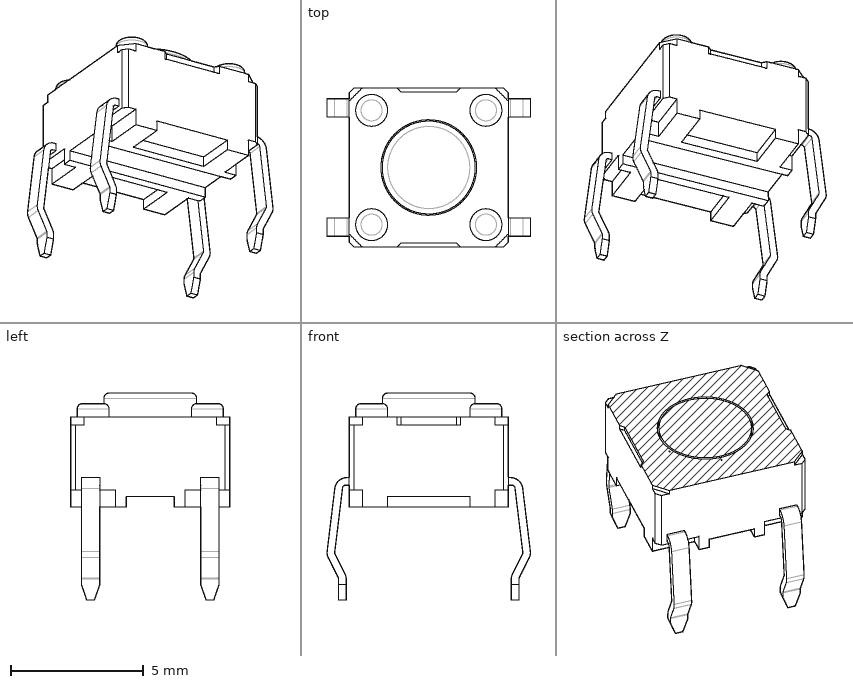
import cadquery as cq
import math

base_bottom = 3.5
base_top = 6.6
cover_top = 6.9
peg_top = 7.4
button_top = 7.8

body_size = 6.0
body_half = body_size / 2
base_chamfer = 0.19
cover_chamfer = 0.5

corner_relief_height = 0.65
corner_relief_width = 0.5
recess_height = 0.4
recess_width = 3.12
channel_width = 1.8
rib_thickness = 0.405
rib_outer_y = channel_width / 2 + rib_thickness
relief_depth = body_half - rib_outer_y

notch_outer_width = 2.4
notch_inner_width = 2.1
notch_depth = 0.15

button_diameter = 3.5
button_hole_diameter = 3.6
peg_diameter = 1.2
peg_offset = 2.15
top_round = 0.2

lead_span = 7.67
lead_thickness = 0.3
lead_width = 0.7
lead_offset_y = 2.25
bend_inner_radius = 0.1
bend_outer_radius = bend_inner_radius + lead_thickness
shoulder_outer_radius = 0.47
elbow_inset = 0.14
elbow_x = lead_span / 2 - elbow_inset
elbow_z = 1.74
shoulder_x = 3.36
shoulder_z = 4.47
tip_x = 3.25
tip_bend_z = 0.85
root_overlap = 0.195
tip_height = 0.585
tip_width = 0.3
lead_centreline = [
    (body_half - root_overlap, shoulder_z),
    (shoulder_x, shoulder_z),
    (elbow_x, elbow_z),
    (tip_x, tip_bend_z),
    (tip_x, 0.0),
]


def block(width, depth, bottom, top, x=0.0, y=0.0):
    """Box centred on (x, y) between two heights."""
    return (
        cq.Workplane("XY", origin=(x, y, bottom))
        .rect(width, depth)
        .extrude(top - bottom)
    )


def rounded_disc(diameter, bottom, top, x=0.0, y=0.0):
    """Upright cylinder with a rounded top edge."""
    return (
        cq.Workplane("XY", origin=(x, y, bottom))
        .circle(diameter / 2)
        .extrude(top - bottom)
        .faces(">Z")
        .edges()
        .fillet(top_round)
    )


def make_base():
    """Housing with corner reliefs, edge recesses and a channel underneath."""
    base = block(body_size, body_size, base_bottom, base_top)
    base = base.edges("|Z").chamfer(base_chamfer)

    relief_x = body_half - corner_relief_width / 2
    relief_y = body_half - relief_depth / 2
    for side_y in (-1, 1):
        for side_x in (-1, 1):
            base = base.cut(block(
                corner_relief_width, relief_depth,
                base_bottom, base_bottom + corner_relief_height,
                side_x * relief_x, side_y * relief_y,
            ))
        base = base.cut(block(
            recess_width, relief_depth,
            base_bottom, base_bottom + recess_height,
            0, side_y * relief_y,
        ))
    channel = block(body_size, channel_width, base_bottom, base_bottom + recess_height)
    return base.cut(channel)


def make_cover():
    """Thin plate with chamfered corners, edge notches and the button hole."""
    cover = block(body_size, body_size, base_top, cover_top)
    cover = cover.edges("|Z").chamfer(cover_chamfer)
    notch = (
        cq.Workplane("XY", origin=(0, 0, base_top))
        .polyline([
            (-notch_outer_width / 2, -body_half),
            (notch_outer_width / 2, -body_half),
            (notch_inner_width / 2, notch_depth - body_half),
            (-notch_inner_width / 2, notch_depth - body_half),
        ])
        .close()
        .extrude(cover_top - base_top)
    )
    hole = (
        cq.Workplane("XY", origin=(0, 0, base_top))
        .circle(button_hole_diameter / 2)
        .extrude(cover_top - base_top)
    )
    return cover.cut(notch).cut(notch.mirror("XZ")).cut(hole)


def offset_corners(points, distance):
    """Shift an open polyline sideways to its left, mitring the corners."""
    headings = [
        math.atan2(end[1] - start[1], end[0] - start[0])
        for start, end in zip(points, points[1:])
    ]
    before = [headings[0]] + headings
    after = headings + [headings[-1]]
    shifted = []
    for (x, z), heading_in, heading_out in zip(points, before, after):
        heading = (heading_in + heading_out) / 2
        reach = distance / math.cos((heading_out - heading_in) / 2)
        shifted.append((x - reach * math.sin(heading), z + reach * math.cos(heading)))
    return shifted


def make_lead():
    """One bent lead on the +X side, centred on y = 0, with a tapered tip."""
    left = offset_corners(lead_centreline, lead_thickness / 2)
    right = offset_corners(lead_centreline, -lead_thickness / 2)
    lead = (
        cq.Workplane("XZ")
        .polyline(left + right[::-1])
        .close()
        .extrude(lead_width / 2, both=True)
    )

    bends = [
        (left[1], shoulder_outer_radius),
        (right[1], bend_inner_radius),
        (left[2], bend_outer_radius),
        (right[2], bend_inner_radius),
        (right[3], bend_outer_radius),
        (left[3], bend_inner_radius),
    ]
    for (x, z), radius in bends:
        lead = lead.edges(cq.selectors.NearestToPointSelector((x, 0, z))).fillet(radius)

    lead_top = shoulder_z + lead_thickness
    tip_profile = (
        cq.Workplane("YZ")
        .polyline([
            (-tip_width / 2, 0),
            (tip_width / 2, 0),
            (lead_width / 2, tip_height),
            (lead_width / 2, lead_top),
            (-lead_width / 2, lead_top),
            (-lead_width / 2, tip_height),
        ])
        .close()
        .extrude(body_size)
    )
    return lead.intersect(tip_profile)


result = make_base().union(make_cover())
result = result.union(rounded_disc(button_diameter, base_top, button_top))

lead_right = make_lead()
lead_left = lead_right.mirror("YZ")
for side_y in (-1, 1):
    for side_x in (-1, 1):
        peg = rounded_disc(
            peg_diameter, cover_top, peg_top,
            side_x * peg_offset, side_y * peg_offset,
        )
        result = result.union(peg)
    for lead in (lead_right, lead_left):
        result = result.union(lead.translate((0, side_y * lead_offset_y, 0)))